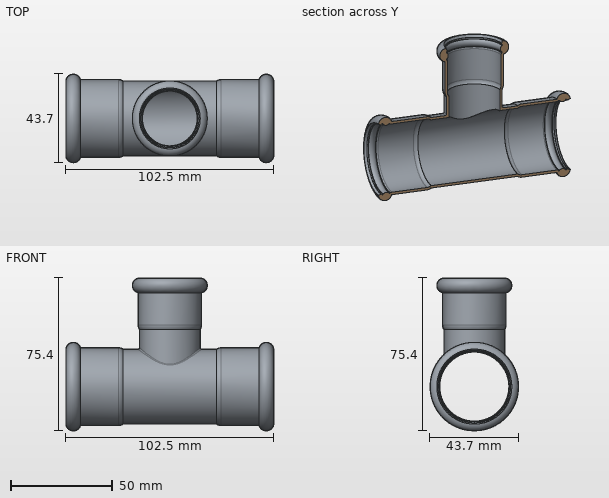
import cadquery as cq

run_length = 102.5
branch_height = 53.5
junction_fillet = 0.6

run = dict(
    bead=43.7,
    socket=38.4,
    neck=37.0,
    mouth_bore=37.0,
    lip_bore=35.8,
    seal_bore=34.6,
    socket_bore=35.4,
    neck_bore=34.0,
    socket_depth=26.0,
)

branch = dict(
    bead=37.0,
    socket=31.4,
    neck=30.0,
    mouth_bore=30.0,
    lip_bore=28.8,
    seal_bore=27.6,
    socket_bore=28.4,
    neck_bore=27.0,
    socket_depth=23.2,
)

bead_width = 7.3
shoulder_length = 2.2
lip_taper_depth = 1.3
seal_top_depth = 2.3
seal_bottom_depth = 6.3
seal_crevice = 0.6
socket_lead_depth = 7.2


def revolve_profile(profile):
    """Close a (radius, height) profile and revolve it about the Z axis."""
    return profile.close().revolve(360, (0, 0, 0), (0, 1, 0))


def socket_outer(height, tube):
    """Solid shoulder, socket and rolled bead, with its mouth at the given height."""
    socket_r = tube["socket"] / 2
    shoulder_z = height - tube["socket_depth"]
    neck_end_z = shoulder_z - shoulder_length
    profile = (
        cq.Workplane("XZ")
        .moveTo(0, neck_end_z)
        .lineTo(0, height)
        .lineTo(tube["mouth_bore"] / 2, height)
        .threePointArc((tube["bead"] / 2, height - bead_width / 2), (socket_r, height - bead_width))
        .lineTo(socket_r, shoulder_z)
        .tangentArcPoint((tube["neck"] / 2, neck_end_z), relative=False)
    )
    return revolve_profile(profile)


def socket_void(height, tube):
    """Inside of a socket: tapered lip, fixed seal ring, socket bore and shoulder."""
    lip_r = tube["lip_bore"] / 2
    socket_r = tube["socket_bore"] / 2
    crevice_r = lip_r + seal_crevice
    seal_top_z = height - seal_top_depth
    seal_bottom_z = height - seal_bottom_depth
    seal_mid_z = (seal_top_z + seal_bottom_z) / 2
    shoulder_z = height - tube["socket_depth"]
    neck_end_z = shoulder_z - shoulder_length
    profile = (
        cq.Workplane("XZ")
        .moveTo(0, neck_end_z)
        .lineTo(0, height)
        .lineTo(tube["mouth_bore"] / 2, height)
        .lineTo(lip_r, height - lip_taper_depth)
        .lineTo(lip_r, seal_top_z)
        .lineTo(crevice_r, seal_top_z)
        .threePointArc((tube["seal_bore"] / 2, seal_mid_z), (crevice_r, seal_bottom_z))
        .lineTo(lip_r, seal_bottom_z)
        .lineTo(socket_r, height - socket_lead_depth)
        .lineTo(socket_r, shoulder_z)
        .tangentArcPoint((tube["neck_bore"] / 2, neck_end_z), relative=False)
    )
    return revolve_profile(profile)


def neck_cylinder(diameter, bottom, top):
    """Plain cylinder on the Z axis between two heights."""
    return cq.Workplane("XY").workplane(offset=bottom).circle(diameter / 2).extrude(top - bottom)


def run_tube(socket, neck_diameter):
    """Plain middle section with the given socket at both ends, laid along X."""
    neck_end = run_length / 2 - run["socket_depth"] - shoulder_length
    neck = neck_cylinder(neck_diameter, -neck_end, neck_end)
    return neck.union(socket).union(socket.mirror("XY")).rotate((0, 0, 0), (0, 1, 0), 90)


def branch_tube(socket, neck_diameter):
    """Plain section from the run axis up to the given socket."""
    neck_end = branch_height - branch["socket_depth"] - shoulder_length
    return neck_cylinder(neck_diameter, 0, neck_end).union(socket)


run_outer = run_tube(socket_outer(run_length / 2, run), run["neck"])
branch_outer = branch_tube(socket_outer(branch_height, branch), branch["neck"])

saddle_box = cq.selectors.BoxSelector(
    (-branch["neck"], -run["neck"], run["neck"] / 4),
    (branch["neck"], run["neck"], run["neck"] / 2),
)
saddle_edges = saddle_box - cq.selectors.TypeSelector("LINE")
body = run_outer.union(branch_outer).edges(saddle_edges).fillet(junction_fillet)

run_passage = run_tube(socket_void(run_length / 2, run), run["neck_bore"])
branch_passage = branch_tube(socket_void(branch_height, branch), branch["neck_bore"])

result = body.cut(run_passage).cut(branch_passage)